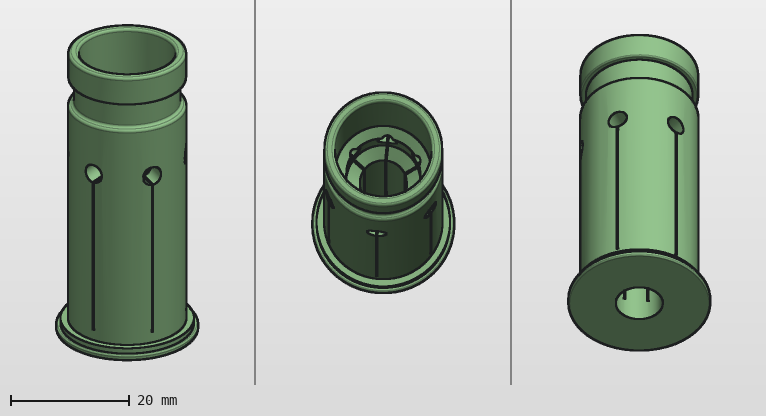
import cadquery as cq
import math

total_length = 52.5
flange_height = 1.0
step_height = 2.0
shoulder_z = 42.65
head_bottom_z = 47.4

flange_radius = 24.0 / 2
step_radius = 22.5 / 2
body_radius = 20.0 / 2
head_radius = 19.9 / 2
neck_radius = 18.0 / 2

mouth_radius = 16.3 / 2
relief_radius = 6.25
tool_radius = 7.95 / 2
relief_top_z = 34.85
relief_bottom_z = 30.05
bore_cone_angle = 118.0
cone_rise = 1 / math.tan(math.radians(bore_cone_angle / 2))
mouth_floor_z = relief_top_z + (mouth_radius - relief_radius) * cone_rise
tool_top_z = relief_bottom_z - (relief_radius - tool_radius) * cone_rise

flange_round = 0.25
head_lower_round = 0.25
head_upper_round = 0.5
mouth_round = 0.5
shoulder_round = (body_radius - neck_radius) / 2

slit_count = 6
first_slit_angle = 30.0
slit_pitch = 360.0 / slit_count
hole_z = 33.5
hole_diameter = 3.3
slit_width = 0.25
slit_bottom_z = 4.0


def make_outer_body():
    """Revolved outside of the sleeve: flange, step, body, grooved neck and head."""
    return (
        cq.Workplane("XZ")
        .lineTo(flange_radius - flange_round, 0)
        .radiusArc((flange_radius, flange_round), -flange_round)
        .lineTo(flange_radius, flange_height - flange_round)
        .radiusArc((flange_radius - flange_round, flange_height), -flange_round)
        .lineTo(step_radius, flange_height)
        .lineTo(step_radius, step_height)
        .lineTo(body_radius, step_height)
        .lineTo(body_radius, shoulder_z - shoulder_round)
        .radiusArc((body_radius - shoulder_round, shoulder_z), -shoulder_round)
        .radiusArc((neck_radius, shoulder_z + shoulder_round), shoulder_round)
        .lineTo(neck_radius, head_bottom_z)
        .lineTo(head_radius - head_lower_round, head_bottom_z)
        .radiusArc((head_radius, head_bottom_z + head_lower_round), -head_lower_round)
        .lineTo(head_radius, total_length - head_upper_round)
        .radiusArc((head_radius - head_upper_round, total_length), -head_upper_round)
        .lineTo(0, total_length)
        .close()
        .revolve(360, (0, 0, 0), (0, 1, 0))
    )


def make_bore():
    """Revolved cavity: rounded mouth, relief bore and tool bore joined by cones."""
    return (
        cq.Workplane("XZ")
        .lineTo(tool_radius, 0)
        .lineTo(tool_radius, tool_top_z)
        .lineTo(relief_radius, relief_bottom_z)
        .lineTo(relief_radius, relief_top_z)
        .lineTo(mouth_radius, mouth_floor_z)
        .lineTo(mouth_radius, total_length - mouth_round)
        .radiusArc((mouth_radius + mouth_round, total_length), mouth_round)
        .lineTo(0, total_length)
        .close()
        .revolve(360, (0, 0, 0), (0, 1, 0))
    )


def make_relief_cut(angle):
    """One radial hole with the narrow slit below it, turned to the given angle about Z."""
    hole = (
        cq.Workplane("YZ")
        .center(0, hole_z)
        .circle(hole_diameter / 2)
        .extrude(flange_radius)
    )
    slit_size = (flange_radius, slit_width, hole_z - slit_bottom_z)
    slit = (
        cq.Workplane("XY")
        .workplane(offset=slit_bottom_z)
        .box(*slit_size, centered=(False, True, False))
    )
    return hole.union(slit).rotate((0, 0, 0), (0, 0, 1), angle)


result = make_outer_body().cut(make_bore())
for index in range(slit_count):
    result = result.cut(make_relief_cut(first_slit_angle + index * slit_pitch))